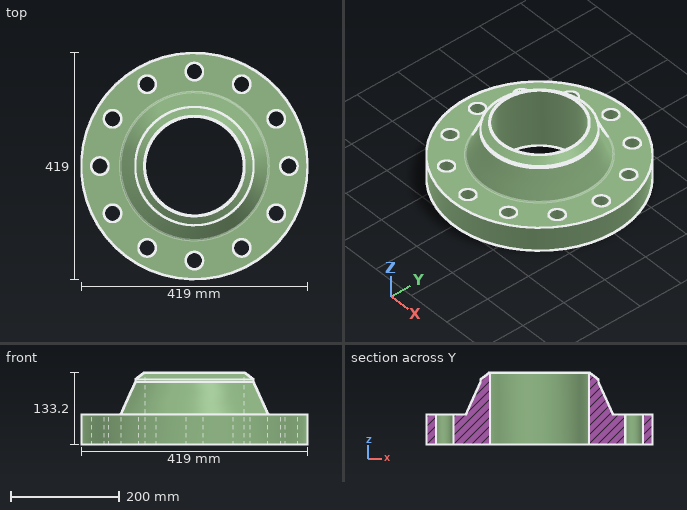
import cadquery as cq
import math

flange_diameter = 419.0
flange_thickness = 55.7
total_height = 133.2

bolt_count = 12
bolt_circle_diameter = 349.5
bolt_hole_diameter = 32.0

bore_diameter = 182.5
hub_base_diameter = 273.0
hub_fillet_radius = 3.0
neck_diameter = 219.0
neck_straight_height = 5.0

land_width = 1.5
bevel_angle = 37.5

flange_radius = flange_diameter / 2
bore_radius = bore_diameter / 2
hub_base_radius = hub_base_diameter / 2
neck_radius = neck_diameter / 2
land_radius = bore_radius + land_width
bevel_height = (neck_radius - land_radius) * math.tan(math.radians(bevel_angle))
neck_top = total_height - bevel_height
neck_bottom = neck_top - neck_straight_height

cone_angle = math.atan2(neck_bottom - flange_thickness, hub_base_radius - neck_radius)
fillet_tangent = hub_fillet_radius * math.tan(cone_angle / 2)
fillet_outer_radius = hub_base_radius + fillet_tangent
fillet_center_z = flange_thickness + hub_fillet_radius


def fillet_point(angle_from_bottom):
    """Point (radius, height) on the fillet arc, measured from its lowest point."""
    return (
        fillet_outer_radius - hub_fillet_radius * math.sin(angle_from_bottom),
        fillet_center_z - hub_fillet_radius * math.cos(angle_from_bottom),
    )


def make_body():
    """Flange, hub, neck and bore revolved about Z from one half section."""
    return (
        cq.Workplane("XZ")
        .moveTo(bore_radius, 0)
        .lineTo(flange_radius, 0)
        .lineTo(flange_radius, flange_thickness)
        .lineTo(fillet_outer_radius, flange_thickness)
        .threePointArc(fillet_point(cone_angle / 2), fillet_point(cone_angle))
        .lineTo(neck_radius, neck_bottom)
        .lineTo(neck_radius, neck_top)
        .lineTo(land_radius, total_height)
        .lineTo(bore_radius, total_height)
        .close()
        .revolve(360, (0, 0, 0), (0, 1, 0))
    )


def make_bolt_holes():
    """Cylinders on the bolt circle, the first one on the +X axis."""
    return (
        cq.Workplane("XY")
        .polarArray(bolt_circle_diameter / 2, 0, 360, bolt_count)
        .circle(bolt_hole_diameter / 2)
        .extrude(flange_thickness)
    )


result = make_body().cut(make_bolt_holes())